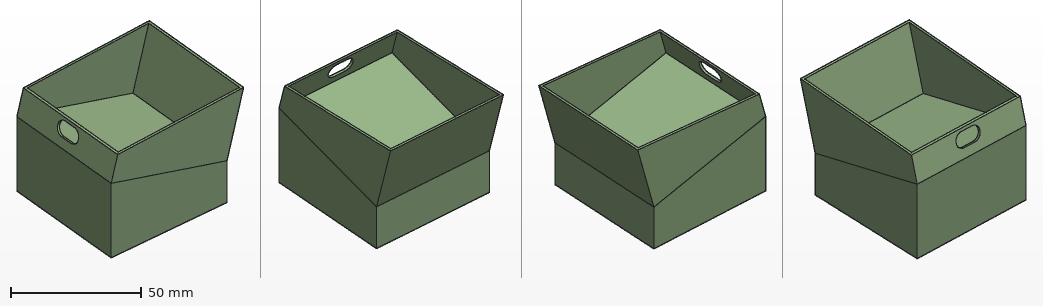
import cadquery as cq
import math

width = 57.0
total_depth = 65.75
total_height = 50.5
tilt = 15.0
back_wall_height = 31.9
front_wall_height = 12.5
wall = 1.1
slot_length = 12.5
slot_width = 6.85
slot_height = 7.75

tilt_sin = math.sin(math.radians(tilt))
tilt_cos = math.cos(math.radians(tilt))
base_depth = total_depth - back_wall_height * tilt_sin
base_back_height = total_height - back_wall_height * tilt_cos
base_front_height = base_back_height + base_depth * tilt_sin / tilt_cos
tray_length = base_depth / tilt_cos


def make_base():
    """Solid wedge-topped block, highest at the front (y = 0)."""
    return (
        cq.Workplane("YZ")
        .polyline([(0, 0), (base_depth, 0), (base_depth, base_back_height), (0, base_front_height)])
        .close()
        .extrude(width / 2, both=True)
    )


def make_tray():
    """Open tray, modelled level with its front underside edge on the X axis, then tilted onto the base."""
    outer = (
        cq.Workplane("YZ")
        .polyline([(0, 0), (tray_length, 0), (tray_length, back_wall_height), (0, front_wall_height)])
        .close()
        .extrude(width / 2, both=True)
    )
    cavity = cq.Workplane("XY").box(
        width - 2 * wall, tray_length - 2 * wall, back_wall_height, centered=(True, False, False)
    ).translate((0, wall, wall))
    finger_slot = (
        cq.Workplane("XZ")
        .center(0, slot_height)
        .slot2D(slot_length, slot_width)
        .extrude(-2 * wall)
    )
    level_tray = outer.cut(cavity).cut(finger_slot)
    return level_tray.rotate((0, 0, 0), (1, 0, 0), -tilt).translate((0, 0, base_front_height))


base = make_base()
tray = make_tray()

result = cq.Compound.makeCompound([base.val(), tray.val()])